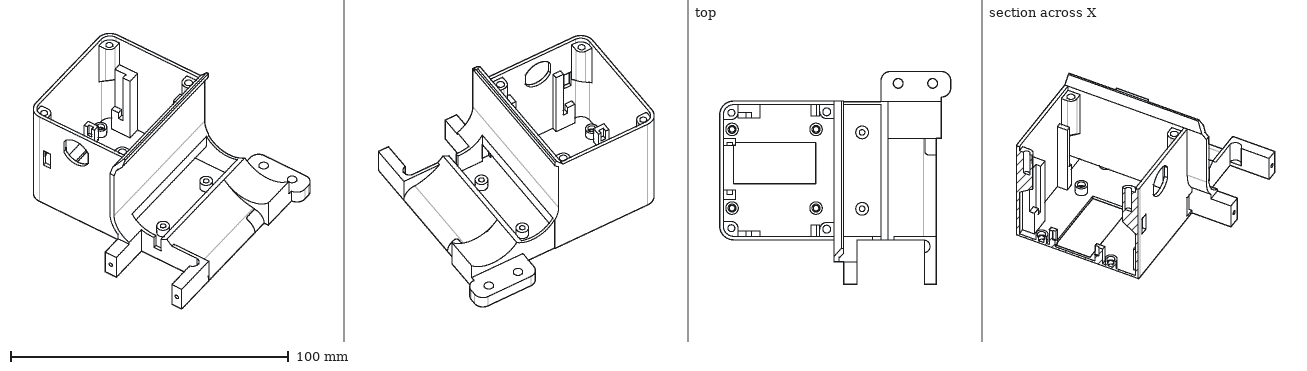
import cadquery as cq
import math

EPS = 0.8

BOX_LENGTH = 41.1
BODY_DEPTH = 50.0
BOX_HEIGHT = 43.4
WALL = 1.3
FLOOR = 1.25
CORNER_RADIUS = 5.1
BOX_BACK = BODY_DEPTH - WALL

CUP_RADIUS = 10.9
CUP_WALL = 1.8
CUP_FACE_X = BOX_LENGTH + CUP_WALL
CUP_X = CUP_FACE_X + CUP_RADIUS
DECK_HEIGHT = 10.15
CUP_Z = DECK_HEIGHT + CUP_RADIUS
CUP_OVERHANG = 7.8
LIP_TOP = 46.4
LIP_END_X = 44.5
LIP_EDGE = 0.75
LIP_ROOT = 42.9
LIP_RISE = LIP_END_X - CUP_FACE_X
LIP_CHAMFER = 4.8

DECK_BACK = 49.8
DECK_END_X = 78.0
RIDGE_X = 60.6
RING_X = 70.7
RING_RADIUS = 12.8
RING_END_X = 79.8
RING_START_Y = 36.55
TROUGH_RADIUS = 20.8
TROUGH_EDGE_X = 73.35
TROUGH_EDGE_Z = 5.1
RELIEF_START_X = 73.9
RELIEF_START_Y = 30.6
RELIEF_DEPTH = 0.2
RELIEF_CORNER = 1.2

POCKET_OPEN_X = 44.6
POCKET_END_X = 58.0
POCKET_WALL = 1.25
POCKET_BACK = BOX_BACK
SLOT_WIDTH = 3.0
SLOT_FLOOR = 5.1

ARM_LENGTH = 16.0
LEFT_ARM = (POCKET_OPEN_X, 49.5)
RIGHT_ARM = (73.7, DECK_END_X)
ARM_HOLE = 1.5
ARM_HOLE_DEPTH = 6.7
ARM_RECESS = 4.6
ARM_RECESS_X = 73.4
ARM_RECESS_FLOOR = 1.75

TAB_START_X = 58.0
TAB_END_X = 83.25
TAB_BACK = 60.7
TAB_FOOT_Y = 51.4
TAB_HEIGHT = 5.1
TAB_RADIUS = 3.5
TAB_HOLE = 3.4
TAB_HOLES = ((64.3, 56.4), (76.7, 56.4))

POST_TOP = 41.4
POST_FOOT = 19.1
POST_RADIUS = 2.5
POST_HOLE_DEPTH = 10.0
LEFT_POST_SIZE = (5.3, 5.3)
LEFT_POST_HOLE = 2.5
LEFT_POST_INSET = 4.25
RIGHT_POST_SIZE = (5.1, 5.0)
RIGHT_POST_HOLE = 2.8
RIGHT_POST_X = 38.55
RIGHT_POST_INSET = 3.9

FLOOR_BOSS_X = (4.5, 34.7)
FLOOR_BOSS_Y = (11.5, 39.8)
FLOOR_BOSS = 4.5
FLOOR_BOSS_HOLE = 2.0
FLOOR_BOSS_COUNTERBORE = 2.8
DECK_BOSS_X = 51.3
DECK_BOSS_Y = (11.2, 38.7)
DECK_BOSS = 4.6
DECK_BOSS_HOLE = 2.0
BOSS_HEIGHT = 3.3

GUIDE_TOP = 30.2
LEDGE_TOP = 11.2
GROOVE_FLOOR = 8.3
LEFT_GUIDE_X = (6.6, 9.6, 11.4, 14.6)
RIGHT_GUIDE_X = (33.0, 34.8, 36.05)
LEFT_GUIDES_Y = ((WALL, 3.3), (43.9, 45.9))
RIGHT_GUIDES_Y = ((WALL, 5.4), (44.6, BOX_BACK))

CLIP_TOP = 8.3
CLIP_END_X = 5.75
CLIP_NOTCH_X = (2.7, 4.6)
CLIPS_Y = ((14.65, 18.0), (34.05, 36.55))
CLIP_NOTCHES_Y = ((16.4, 18.0), (34.05, 35.1))
CLIP_NOTCH_FLOOR = 4.2

FLOOR_WINDOW = (5.1, 34.55, 20.3, 35.05)
SIDE_WINDOW_X = (6.8, 9.8)
SIDE_WINDOW_Z = (19.7, 27.0)
ROUND_HOLE = 11.65
ROUND_HOLE_FLATS = 10.6
ROUND_HOLE_X = 21.0
ROUND_HOLE_Z = 34.05


def block(x0, x1, y0, y1, z0, z1):
    return cq.Workplane("XY").box(x1 - x0, y1 - y0, z1 - z0, centered=False).translate((x0, y0, z0))


def upright(x, y, diameter, z0, z1):
    return cq.Workplane("XY", origin=(x, y, z0)).circle(diameter / 2).extrude(z1 - z0)


def along_y(profile, y0, y1):
    """Extrude a closed XZ profile from y0 back to y1."""
    return profile.extrude(y0 - y1).translate((0, y0, 0))


def low_arc_z(center_x, center_z, radius, x):
    """Height of the lower half of a circle at x."""
    return center_z - math.sqrt(radius ** 2 - (x - center_x) ** 2)


def cup_z(x, radius=CUP_RADIUS):
    return low_arc_z(CUP_X, CUP_Z, radius, x)


RIDGE_Z = cup_z(RIDGE_X)
RING_Z = RIDGE_Z + math.sqrt(RING_RADIUS ** 2 - (RIDGE_X - RING_X) ** 2)


def box_body():
    body = block(0, BOX_LENGTH, 0, BODY_DEPTH, 0, BOX_HEIGHT)
    return body.edges("|Z and <X").fillet(CORNER_RADIUS)


def box_cavity():
    cavity = block(WALL, BOX_LENGTH, WALL, BOX_BACK, FLOOR, BOX_HEIGHT + EPS)
    return cavity.edges("|Z and <X").fillet(CORNER_RADIUS - WALL)


def lid_post(side_x, side_y, width, depth, hole, hole_x, hole_y):
    """Post in the enclosure corner on side_x (-1 left, 1 right) and side_y (-1 front, 1 back)."""
    corner_x = WALL if side_x < 0 else BOX_LENGTH
    corner_y = WALL if side_y < 0 else BOX_BACK
    post = (
        cq.Workplane("XY", origin=(corner_x - side_x * width / 2, corner_y - side_y * depth / 2, POST_FOOT))
        .rect(width, depth)
        .extrude(POST_TOP - POST_FOOT)
    )
    inner_edge = ("<X" if side_x > 0 else ">X") + " and " + ("<Y" if side_y > 0 else ">Y")
    post = post.edges("|Z and " + inner_edge).fillet(POST_RADIUS)
    reach = width + depth
    inward = math.degrees(math.atan2(-side_y, -side_x))
    underside = (
        cq.Workplane("XZ")
        .polyline([(0, 0), (reach, 0), (reach, reach)])
        .close()
        .extrude(reach, both=True)
        .rotate((0, 0, 0), (0, 0, 1), inward)
        .translate((corner_x, corner_y, POST_FOOT))
    )
    bore = upright(hole_x, hole_y, hole, POST_TOP - POST_HOLE_DEPTH, POST_TOP + EPS)
    return post.cut(underside).cut(bore)


def add_lid_posts(body):
    outline = box_body()
    for side_y, left_y, right_y in (
        (-1, LEFT_POST_INSET, RIGHT_POST_INSET),
        (1, BODY_DEPTH - LEFT_POST_INSET, BODY_DEPTH - RIGHT_POST_INSET),
    ):
        left = lid_post(-1, side_y, *LEFT_POST_SIZE, LEFT_POST_HOLE, LEFT_POST_INSET, left_y)
        right = lid_post(1, side_y, *RIGHT_POST_SIZE, RIGHT_POST_HOLE, RIGHT_POST_X, right_y)
        body = body.union(left.intersect(outline)).union(right)
    return body


def add_board_guides(body):
    """Slotted guides along the front and back walls of the enclosure."""
    left_x, groove_x, stop_x, left_end = LEFT_GUIDE_X
    right_x, ledge_x, right_end = RIGHT_GUIDE_X
    for y0, y1 in LEFT_GUIDES_Y:
        body = body.union(block(left_x, groove_x, y0, y1, 0, LEDGE_TOP))
        body = body.union(block(groove_x, stop_x, y0, y1, 0, GROOVE_FLOOR))
        body = body.union(block(stop_x, left_end, y0, y1, 0, GUIDE_TOP))
    body = body.union(block(left_x, left_end, LEFT_GUIDES_Y[1][1], BOX_BACK, 0, GUIDE_TOP))
    for y0, y1 in RIGHT_GUIDES_Y:
        body = body.union(block(right_x, ledge_x, y0, y1, 0, GUIDE_TOP))
        body = body.union(block(ledge_x, right_end, y0, y1, 0, LEDGE_TOP))
    return body


def add_clips(body):
    """Two notched clips on the left wall beside the floor window."""
    for clip_y, notch_y in zip(CLIPS_Y, CLIP_NOTCHES_Y):
        clip = block(WALL, CLIP_END_X, *clip_y, 0, CLIP_TOP)
        body = body.union(clip.cut(block(*CLIP_NOTCH_X, *notch_y, CLIP_NOTCH_FLOOR, CLIP_TOP + EPS)))
    return body


def cut_openings(body):
    x0, x1, y0, y1 = FLOOR_WINDOW
    body = body.cut(block(x0, x1, y0, y1, -EPS, FLOOR))
    body = body.cut(block(*SIDE_WINDOW_X, -EPS, WALL, *SIDE_WINDOW_Z))
    round_hole = along_y(
        cq.Workplane("XZ").center(ROUND_HOLE_X, ROUND_HOLE_Z).circle(ROUND_HOLE / 2), -EPS, WALL)
    half_flats = ROUND_HOLE_FLATS / 2
    flats = block(ROUND_HOLE_X - half_flats, ROUND_HOLE_X + half_flats, -EPS, WALL, 0, BOX_HEIGHT)
    return body.cut(round_hole.intersect(flats))


def cup_wall(end_x, y0, y1):
    """Upright wall with its sloped lip, widening into the cup up to end_x."""
    middle_x = (CUP_FACE_X + end_x) / 2
    profile = (
        cq.Workplane("XZ")
        .moveTo(BOX_LENGTH, 0)
        .lineTo(end_x, 0)
        .lineTo(end_x, cup_z(end_x))
        .threePointArc((middle_x, cup_z(middle_x)), (CUP_FACE_X, CUP_Z))
        .lineTo(CUP_FACE_X, LIP_ROOT)
        .lineTo(LIP_END_X, LIP_ROOT + LIP_RISE)
        .lineTo(LIP_END_X, LIP_TOP)
        .lineTo(LIP_END_X - LIP_EDGE, LIP_TOP)
        .lineTo(BOX_LENGTH, BOX_HEIGHT)
        .close()
    )
    return along_y(profile, y0, y1)


def cup_undercut():
    """Room left of the left arm, below the round outside of the overhanging cup wall."""
    outer_radius = CUP_RADIUS + CUP_WALL
    middle_x = (BOX_LENGTH + POCKET_OPEN_X) / 2
    profile = (
        cq.Workplane("XZ")
        .moveTo(BOX_LENGTH, 0)
        .lineTo(POCKET_OPEN_X, 0)
        .lineTo(POCKET_OPEN_X, cup_z(POCKET_OPEN_X, outer_radius))
        .threePointArc((middle_x, cup_z(middle_x, outer_radius)), (BOX_LENGTH, CUP_Z))
        .close()
    )
    return along_y(profile, -CUP_OVERHANG, 0)


def cup_deck():
    """Solid below the cup, from the enclosure to the crest."""
    profile = (
        cq.Workplane("XZ")
        .moveTo(BOX_LENGTH, 0)
        .lineTo(RIDGE_X, 0)
        .lineTo(RIDGE_X, RIDGE_Z)
        .threePointArc((CUP_X, DECK_HEIGHT), (CUP_FACE_X, CUP_Z))
        .lineTo(BOX_LENGTH, CUP_Z)
        .close()
    )
    return along_y(profile, 0, DECK_BACK)


def lip_chamfer():
    """Triangle that bevels the front upper corner of the lip."""
    return (
        cq.Workplane("YZ", origin=(BOX_LENGTH - EPS, 0, 0))
        .polyline([
            (-CUP_OVERHANG, LIP_TOP),
            (LIP_CHAMFER - CUP_OVERHANG, LIP_TOP),
            (-CUP_OVERHANG, LIP_TOP - LIP_CHAMFER),
        ])
        .close()
        .extrude(LIP_END_X - BOX_LENGTH + 2 * EPS)
    )


def cut_cable_pocket(body):
    body = body.cut(block(BOX_LENGTH - EPS, POCKET_END_X, POCKET_WALL, POCKET_BACK, FLOOR, DECK_HEIGHT))
    body = body.cut(block(POCKET_OPEN_X, POCKET_END_X, POCKET_WALL, POCKET_BACK, FLOOR, CUP_Z))
    body = body.cut(block(BOX_LENGTH, POCKET_OPEN_X, -EPS, POCKET_WALL + EPS, FLOOR, DECK_HEIGHT))
    return body.cut(block(POCKET_END_X - SLOT_WIDTH, POCKET_END_X, -EPS, POCKET_WALL, SLOT_FLOOR, CUP_Z))


def trough_profile():
    edge_radius = DECK_END_X - TROUGH_EDGE_X
    edge_center_z = TROUGH_EDGE_Z - edge_radius
    edge_mid = edge_radius * math.sqrt(0.5)
    return (
        cq.Workplane("XZ")
        .moveTo(RIDGE_X, 0)
        .lineTo(DECK_END_X, 0)
        .lineTo(DECK_END_X, edge_center_z)
        .threePointArc((TROUGH_EDGE_X + edge_mid, edge_center_z + edge_mid), (TROUGH_EDGE_X, TROUGH_EDGE_Z))
        .radiusArc((RIDGE_X, RIDGE_Z), TROUGH_RADIUS)
        .close()
    )


def trough():
    body = along_y(trough_profile(), 0, RING_START_Y)
    front_wall = block(RIDGE_X, DECK_END_X, 0, POCKET_WALL, 0, DECK_HEIGHT)
    relief = block(RELIEF_START_X, DECK_END_X + EPS, RELIEF_START_Y, RING_START_Y, 0, DECK_HEIGHT)
    relief = relief.edges("|Z and <X and <Y").fillet(RELIEF_CORNER)
    lowered = along_y(trough_profile(), 0, RING_START_Y).translate((0, 0, -RELIEF_DEPTH))
    return body.cut(relief.cut(lowered)).union(front_wall)


def ring():
    profile = (
        cq.Workplane("XZ")
        .moveTo(RIDGE_X, 0)
        .lineTo(RING_END_X, 0)
        .lineTo(RING_END_X, low_arc_z(RING_X, RING_Z, RING_RADIUS, RING_END_X))
        .threePointArc((RING_X, RING_Z - RING_RADIUS), (RIDGE_X, RIDGE_Z))
        .close()
    )
    return along_y(profile, RING_START_Y, DECK_BACK)


def add_arms(body):
    for x0, x1 in (LEFT_ARM, RIGHT_ARM):
        arm = block(x0, x1, -ARM_LENGTH, 0, 0, DECK_HEIGHT)
        hole = along_y(
            cq.Workplane("XZ").center((x0 + x1) / 2, DECK_HEIGHT / 2).circle(ARM_HOLE / 2),
            -ARM_LENGTH, ARM_HOLE_DEPTH - ARM_LENGTH)
        body = body.union(arm.cut(hole))
    recess_y = -ARM_RECESS / 2
    return body.cut(upright(ARM_RECESS_X, recess_y, ARM_RECESS, ARM_RECESS_FLOOR, DECK_HEIGHT + EPS))


def tab():
    plate = block(TAB_START_X, TAB_END_X, TAB_FOOT_Y, TAB_BACK, 0, TAB_HEIGHT)
    plate = plate.edges("|Z and (>X or >Y)").fillet(TAB_RADIUS)
    foot = block(TAB_START_X, RING_END_X, DECK_BACK, TAB_FOOT_Y, 0, TAB_HEIGHT)
    return plate.union(foot).cut(
        cq.Workplane("XY").pushPoints(TAB_HOLES).circle(TAB_HOLE / 2).extrude(TAB_HEIGHT))


def add_screw_bosses(body):
    top = FLOOR + BOSS_HEIGHT
    for y in DECK_BOSS_Y:
        boss = upright(DECK_BOSS_X, y, DECK_BOSS, 0, top)
        body = body.union(boss.cut(upright(DECK_BOSS_X, y, DECK_BOSS_HOLE, FLOOR, top)))
    for x in FLOOR_BOSS_X:
        for y in FLOOR_BOSS_Y:
            boss = upright(x, y, FLOOR_BOSS, 0, top)
            boss = boss.cut(upright(x, y, FLOOR_BOSS_HOLE, FLOOR, top))
            boss = boss.cut(upright(x, y, FLOOR_BOSS_COUNTERBORE, top - BOSS_HEIGHT / 2, top))
            body = body.union(boss)
    return body


shell = box_body().union(cup_deck())
shell = shell.union(cup_wall(LEFT_ARM[1], -CUP_OVERHANG, 0).cut(cup_undercut()))
shell = shell.union(cup_wall(POCKET_OPEN_X, 0, BODY_DEPTH))
shell = shell.cut(lip_chamfer()).cut(box_cavity())
shell = cut_cable_pocket(shell)
shell = shell.union(trough()).union(ring()).union(tab())
shell = add_arms(shell)
shell = add_lid_posts(shell)
shell = add_board_guides(shell)
shell = add_clips(shell)
shell = add_screw_bosses(shell)
result = cut_openings(shell)